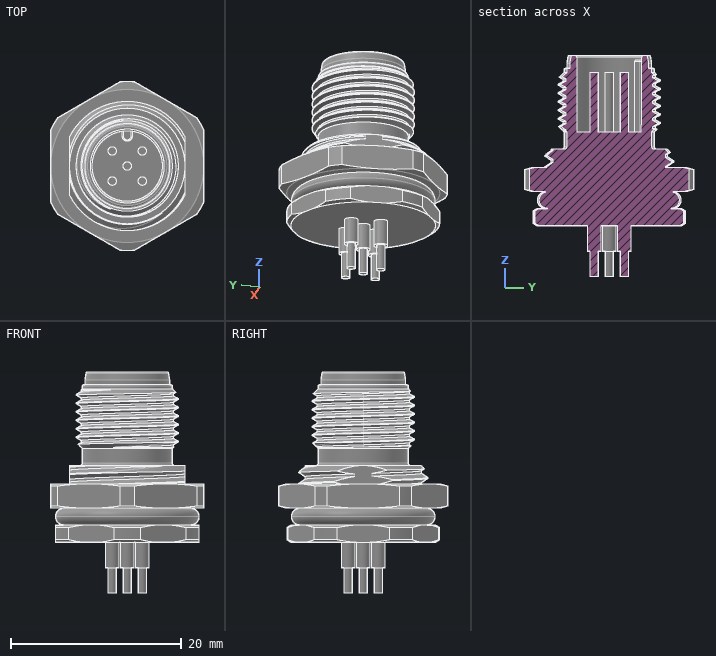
import cadquery as cq
import math

TOTAL_HEIGHT = 26.0
SOLDER_PIN_LENGTH = 3.0
SLEEVE_LENGTH = 3.0
FLANGE_THICKNESS = 2.03
SEAL_THICKNESS = 1.98
NUT_THICKNESS = 2.85
FLANGE_BOTTOM = SOLDER_PIN_LENGTH + SLEEVE_LENGTH
FLANGE_TOP = FLANGE_BOTTOM + FLANGE_THICKNESS
NUT_BOTTOM = FLANGE_TOP + SEAL_THICKNESS
NUT_TOP = NUT_BOTTOM + NUT_THICKNESS
PANEL_THREAD_TOP = 15.0
PLUG_THREAD_BOTTOM = 17.0
PLUG_THREAD_TOP = 24.0
COLLAR_TOP = 24.5

NUT_ACROSS_FLATS = 18.0
NUT_CORNER_DIAMETER = 19.9
NUT_FACE_DIAMETER = 18.0
NUT_CHAMFER_HEIGHT = 0.25
FLANGE_ACROSS_FLATS = 16.9
FLANGE_CORNER_DIAMETER = 18.0
FLANGE_FACE_DIAMETER = 17.0
FLANGE_CHAMFER_HEIGHT = 0.3

SEAL_OUTER_DIAMETER = 16.9

PANEL_MAJOR_RADIUS = 7.6
PANEL_MINOR_RADIUS = 6.86
PANEL_PITCH = 1.4
PANEL_FLANK_ANGLE = 34.0
PANEL_ROOT_WIDTH = 0.3
PANEL_CREST_HEIGHT = 13.18
PANEL_WIDTH_OVER_FLATS = 13.57
PANEL_TOP_RADIUS = 6.79

PLUG_MAJOR_RADIUS = 6.0
PLUG_MINOR_RADIUS = 5.43
PLUG_TURNS = 7
PLUG_PITCH = (PLUG_THREAD_TOP - PLUG_THREAD_BOTTOM) / PLUG_TURNS
PLUG_FLANK_ANGLE = 30.0
PLUG_ROOT_WIDTH = PLUG_PITCH / 4
PLUG_CREST_HEIGHT = 22.8

THREAD_CUT_OVERRUN = 0.05

NECK_RADIUS = 5.3
NECK_FOOT_FILLET = 0.29
COLLAR_FILLET = 0.18
SPIGOT_RADIUS = 5.0
SPIGOT_TAPER_START = 25.05
RIM_OUTER_RADIUS = 4.84
RIM_FILLET = 0.2
RIM_INNER_RADIUS = 4.35
SOCKET_RADIUS = 4.13
SOCKET_CHAMFER_HEIGHT = 0.2
SOCKET_FLOOR = PLUG_THREAD_BOTTOM

PIN_RADIUS = 0.5
SLEEVE_RADIUS = 0.8
PIN_OFFSET = 1.77
PIN_TOP = 24.0
PIN_POSITIONS = [(0, 0)] + [(PIN_OFFSET * i, PIN_OFFSET * j) for i in (-1, 1) for j in (-1, 1)]
KEY_RADIUS = 0.6
KEY_TIP_DISTANCE = 2.95
KEY_TOP = 25.43
KEY_CHAMFER_HEIGHT = 0.18
KEY_CHAMFER_WIDTH = 0.13


def cylinder(radius, bottom, top):
    return cq.Workplane("XY").workplane(offset=bottom).circle(radius).extrude(top - bottom)


def revolved(points):
    """Turn (radius, height) points about the Z axis."""
    return cq.Workplane("XZ").polyline(points).close().revolve(360, (0, 0, 0), (0, 1, 0))


def turned_hexagon(across_flats, corner_diameter, face_diameter, chamfer_height, bottom, top):
    """Hexagon with flats facing +X and -X, its corners turned round and bevelled at both ends."""
    hexagon = (
        cq.Workplane("XY").workplane(offset=bottom)
        .polygon(6, across_flats, circumscribed=True).extrude(top - bottom)
    )
    corner = corner_diameter / 2
    face = face_diameter / 2
    envelope = revolved([
        (0, bottom), (face, bottom), (corner, bottom + chamfer_height),
        (corner, top - chamfer_height), (face, top), (0, top),
    ])
    return hexagon.intersect(envelope)


def cut_thread(bar, bottom, top, major, minor, pitch, flank_angle, root_width, crest_height):
    """Cut a right-handed V groove around a bar; crest_height is where a crest crosses the +X side."""
    slope = math.tan(math.radians(flank_angle))
    outer = major + THREAD_CUT_OVERRUN
    root_half = root_width / 2
    outer_half = root_half + (outer - minor) * slope
    groove_height = crest_height + pitch / 2
    start = groove_height - math.ceil((groove_height - bottom) / pitch + 1) * pitch
    turns = math.ceil((top - start) / pitch + 0.5)
    path = cq.Wire.makeHelix(pitch, pitch, minor, center=cq.Vector(0, 0, start))
    groove_turn = (
        cq.Workplane("XZ")
        .polyline([
            (minor, start - root_half), (outer, start - outer_half),
            (outer, start + outer_half), (minor, start + root_half),
        ])
        .close().sweep(cq.Workplane(obj=path), isFrenet=True)
    )
    for turn in range(turns):
        bar = bar.cut(groove_turn.translate((0, 0, turn * pitch)))
    return bar


def panel_thread():
    chamfer = PANEL_MAJOR_RADIUS - PANEL_TOP_RADIUS
    bar = revolved([
        (0, NUT_BOTTOM), (PANEL_MAJOR_RADIUS, NUT_BOTTOM),
        (PANEL_MAJOR_RADIUS, PANEL_THREAD_TOP - chamfer),
        (PANEL_TOP_RADIUS, PANEL_THREAD_TOP), (0, PANEL_THREAD_TOP),
    ])
    threaded = cut_thread(
        bar, NUT_BOTTOM, PANEL_THREAD_TOP, PANEL_MAJOR_RADIUS, PANEL_MINOR_RADIUS,
        PANEL_PITCH, PANEL_FLANK_ANGLE, PANEL_ROOT_WIDTH, PANEL_CREST_HEIGHT,
    )
    flats = cq.Workplane("XY").box(PANEL_WIDTH_OVER_FLATS, 3 * PANEL_MAJOR_RADIUS, 3 * TOTAL_HEIGHT)
    return threaded.intersect(flats)


def plug_thread():
    chamfer = PLUG_MAJOR_RADIUS - NECK_RADIUS
    bar = revolved([
        (0, PLUG_THREAD_BOTTOM), (NECK_RADIUS, PLUG_THREAD_BOTTOM),
        (PLUG_MAJOR_RADIUS, PLUG_THREAD_BOTTOM + chamfer),
        (PLUG_MAJOR_RADIUS, PLUG_THREAD_TOP - chamfer),
        (NECK_RADIUS, PLUG_THREAD_TOP), (0, PLUG_THREAD_TOP),
    ])
    return cut_thread(
        bar, PLUG_THREAD_BOTTOM, PLUG_THREAD_TOP, PLUG_MAJOR_RADIUS, PLUG_MINOR_RADIUS,
        PLUG_PITCH, PLUG_FLANK_ANGLE, PLUG_ROOT_WIDTH, PLUG_CREST_HEIGHT,
    )


def seal_ring():
    section_radius = SEAL_THICKNESS / 2
    centre_radius = SEAL_OUTER_DIAMETER / 2 - section_radius
    ring = (
        cq.Workplane("XZ").center(centre_radius, FLANGE_TOP + section_radius)
        .circle(section_radius).revolve(360, (-centre_radius, 0, 0), (-centre_radius, 1, 0))
    )
    return ring.union(cylinder(centre_radius, FLANGE_TOP, NUT_BOTTOM))


def neck():
    """Plain neck and collar, running up through the plug thread, with a concave fillet at its foot."""
    column = cylinder(NECK_RADIUS, NUT_TOP, COLLAR_TOP).faces(">Z").edges().fillet(COLLAR_FILLET)
    foot_radius = NECK_RADIUS + NECK_FOOT_FILLET
    foot = (
        cq.Workplane("XZ")
        .moveTo(0, PANEL_THREAD_TOP).lineTo(foot_radius, PANEL_THREAD_TOP)
        .radiusArc((NECK_RADIUS, PANEL_THREAD_TOP + NECK_FOOT_FILLET), NECK_FOOT_FILLET)
        .lineTo(0, PANEL_THREAD_TOP + NECK_FOOT_FILLET).close()
        .revolve(360, (0, 0, 0), (0, 1, 0))
    )
    return column.union(foot)


def spigot():
    """Guide above the collar, tapered towards a rounded rim."""
    body = revolved([
        (0, PLUG_THREAD_TOP), (SPIGOT_RADIUS, PLUG_THREAD_TOP),
        (SPIGOT_RADIUS, SPIGOT_TAPER_START),
        (RIM_OUTER_RADIUS, TOTAL_HEIGHT), (0, TOTAL_HEIGHT),
    ])
    return body.faces(">Z").edges().fillet(RIM_FILLET)


def socket():
    return revolved([
        (0, SOCKET_FLOOR), (SOCKET_RADIUS, SOCKET_FLOOR),
        (SOCKET_RADIUS, TOTAL_HEIGHT - SOCKET_CHAMFER_HEIGHT),
        (RIM_INNER_RADIUS, TOTAL_HEIGHT), (0, TOTAL_HEIGHT),
    ])


def coding_key():
    """Round-nosed rib on the +Y side of the socket wall."""
    nose_y = KEY_TIP_DISTANCE + KEY_RADIUS
    wall_y = (SOCKET_RADIUS + SPIGOT_RADIUS) / 2
    return (
        cq.Workplane("XY").workplane(offset=SOCKET_FLOOR)
        .moveTo(-KEY_RADIUS, wall_y).lineTo(-KEY_RADIUS, nose_y)
        .threePointArc((0, KEY_TIP_DISTANCE), (KEY_RADIUS, nose_y))
        .lineTo(KEY_RADIUS, wall_y).close()
        .extrude(KEY_TOP - SOCKET_FLOOR)
        .faces(">Z").edges("not >Y").chamfer(KEY_CHAMFER_HEIGHT, KEY_CHAMFER_WIDTH)
    )


def contact_cylinders(radius, bottom, top):
    """One cylinder at each contact position."""
    return (
        cq.Workplane("XY").workplane(offset=bottom)
        .pushPoints(PIN_POSITIONS).circle(radius).extrude(top - bottom)
    )


flange = turned_hexagon(
    FLANGE_ACROSS_FLATS, FLANGE_CORNER_DIAMETER, FLANGE_FACE_DIAMETER, FLANGE_CHAMFER_HEIGHT,
    FLANGE_BOTTOM, FLANGE_TOP,
)
nut = turned_hexagon(
    NUT_ACROSS_FLATS, NUT_CORNER_DIAMETER, NUT_FACE_DIAMETER, NUT_CHAMFER_HEIGHT, NUT_BOTTOM, NUT_TOP,
)
pins = contact_cylinders(PIN_RADIUS, SOCKET_FLOOR, PIN_TOP)
sleeves = contact_cylinders(SLEEVE_RADIUS, SOLDER_PIN_LENGTH, FLANGE_BOTTOM)
solder_pins = contact_cylinders(PIN_RADIUS, 0, SOLDER_PIN_LENGTH)

result = neck().union(spigot()).union(plug_thread()).union(panel_thread())
result = result.union(nut).union(seal_ring()).union(flange)
result = result.cut(socket()).union(coding_key())
result = result.union(pins).union(sleeves).union(solder_pins)